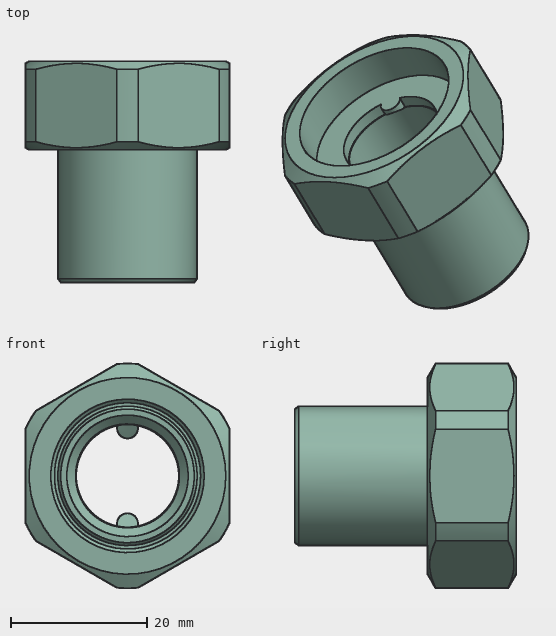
import cadquery as cq
import math

total_length = 32.5

across_flats = 30.0
corner_diameter = 33.0
nut_length = 13.05
nut_face_radius = 14.42
nut_chamfer_angle = 30.0
nut_hole_radius = 10.72
nut_hole_chamfer = 0.53
nut_wall = 2.97
cavity_radius = 12.05
nut_front = total_length - nut_length
cavity_front = nut_front + nut_wall

tube_radius = 10.23
bore_radius = 7.62
rim_outer_radius = 9.8
rim_inner_radius = 8.9
rim_outer_depth = 0.6
rim_inner_depth = 1.32
flange_radius = 11.88
flange_thickness = 2.48
flange_back = cavity_front + flange_thickness

gasket_radius = flange_radius
gasket_bore_radius = 7.52
gasket_thickness = 1.98
tab_radius = 1.55
tab_tip_radius = 5.48
tab_slope_angle = 30.0
tab_centre_radius = tab_tip_radius + tab_radius
gasket_back = flange_back + gasket_thickness


def revolve_profile(points):
    """Revolve a closed (radius, Y) outline about the Y axis."""
    return cq.Workplane("XY").polyline(points).close().revolve(360, (0, 0, 0), (0, 1, 0))


def disc(radius, start, end, x=0.0, z=0.0):
    """Round disc along +Y from start to end, centred at (x, z)."""
    return cq.Workplane(cq.Solid.makeCylinder(radius, end - start, cq.Vector(x, start, z), cq.Vector(0, 1, 0)))


def make_nut():
    hexagon = (
        cq.Workplane("XZ", origin=(0, total_length, 0))
        .polygon(6, across_flats / math.cos(math.pi / 6))
        .extrude(nut_length)
        .rotate((0, 0, 0), (0, 1, 0), 30)
    )
    corner_radius = corner_diameter / 2
    chamfer_depth = (corner_radius - nut_face_radius) * math.tan(math.radians(nut_chamfer_angle))
    envelope = revolve_profile([
        (0, nut_front),
        (nut_face_radius, nut_front),
        (corner_radius, nut_front + chamfer_depth),
        (corner_radius, total_length - chamfer_depth),
        (nut_face_radius, total_length),
        (0, total_length),
    ])
    opening = revolve_profile([
        (0, nut_front),
        (nut_hole_radius + nut_hole_chamfer, nut_front),
        (nut_hole_radius, nut_front + nut_hole_chamfer),
        (nut_hole_radius, cavity_front),
        (cavity_radius, cavity_front),
        (cavity_radius, total_length),
        (0, total_length),
    ])
    return hexagon.intersect(envelope).cut(opening)


def make_tube():
    return revolve_profile([
        (rim_inner_radius, 0),
        (rim_outer_radius, 0),
        (tube_radius, rim_outer_depth),
        (tube_radius, cavity_front),
        (flange_radius, cavity_front),
        (flange_radius, flange_back),
        (bore_radius, flange_back),
        (bore_radius, rim_inner_depth),
    ])


def make_gasket():
    gasket = disc(gasket_radius, flange_back, gasket_back).cut(
        disc(gasket_bore_radius, flange_back, gasket_back)
    )
    slope_depth = (bore_radius - tab_tip_radius) * math.tan(math.radians(tab_slope_angle))
    tab_envelope = revolve_profile([
        (tab_tip_radius, flange_back + slope_depth),
        (bore_radius, flange_back),
        (gasket_radius, flange_back),
        (gasket_radius, gasket_back),
        (tab_tip_radius, gasket_back),
    ])
    for side in (1, -1):
        tab = disc(tab_radius, flange_back, gasket_back, z=side * tab_centre_radius)
        gasket = gasket.union(tab.intersect(tab_envelope))
    return gasket


nut = make_nut()
tube = make_tube()
gasket = make_gasket()

result = cq.Compound.makeCompound([body.solids().val() for body in (nut, tube, gasket)])